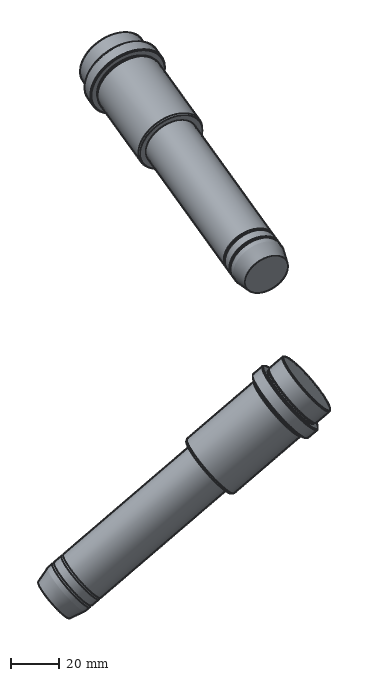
import cadquery as cq
import math

length = 140.0
flange_diameter = 35.0
shoulder_diameter = 30.0
pin_diameter = 24.0

flange_start = 9.0
flange_width = 6.0
flange_end = flange_start + flange_width
shoulder_end = 54.0

edge_chamfer = 0.4
lead_chamfer_length = 0.8
lead_chamfer_depth = 0.4
relief_width = 1.3
relief_depth = 0.4

oil_groove_starts = (124.5, 129.5)
oil_groove_width = 1.0
oil_groove_depth = 0.4

taper_length = 7.0
taper_angle = 15.0

flange_radius = flange_diameter / 2
shoulder_radius = shoulder_diameter / 2
pin_radius = pin_diameter / 2
tip_radius = pin_radius - taper_length * math.tan(math.radians(taper_angle))


def add_flange(profile):
    """Add the chamfered flange with a sloped relief on each side."""
    relief_radius = shoulder_radius - relief_depth
    return (
        profile.lineTo(flange_start - relief_width, shoulder_radius)
        .lineTo(flange_start - relief_width + relief_depth, relief_radius)
        .lineTo(flange_start, relief_radius)
        .lineTo(flange_start, flange_radius - edge_chamfer)
        .lineTo(flange_start + edge_chamfer, flange_radius)
        .lineTo(flange_end - edge_chamfer, flange_radius)
        .lineTo(flange_end, flange_radius - edge_chamfer)
        .lineTo(flange_end, relief_radius)
        .lineTo(flange_end + relief_width - relief_depth, relief_radius)
        .lineTo(flange_end + relief_width, shoulder_radius)
    )


def add_oil_groove(profile, start):
    """Add one round-bottomed groove to the pin surface."""
    return profile.lineTo(start, pin_radius).threePointArc(
        (start + oil_groove_width / 2, pin_radius - oil_groove_depth),
        (start + oil_groove_width, pin_radius),
    )


profile = (
    cq.Workplane("XY")
    .moveTo(0, 0)
    .lineTo(0, shoulder_radius - edge_chamfer)
    .lineTo(edge_chamfer, shoulder_radius)
)
profile = add_flange(profile)
profile = (
    profile.lineTo(shoulder_end - lead_chamfer_length, shoulder_radius)
    .lineTo(shoulder_end, shoulder_radius - lead_chamfer_depth)
    .lineTo(shoulder_end, pin_radius)
)
for groove_start in oil_groove_starts:
    profile = add_oil_groove(profile, groove_start)
profile = (
    profile.lineTo(length - taper_length, pin_radius)
    .lineTo(length, tip_radius)
    .lineTo(length, 0)
    .close()
)

result = profile.revolve(360, (0, 0, 0), (1, 0, 0))